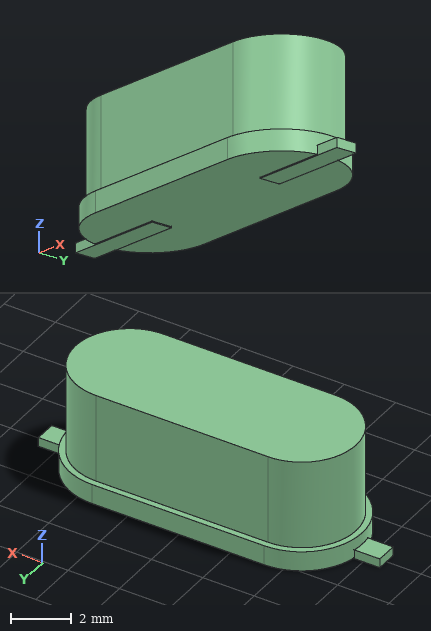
import cadquery as cq

overall_length = 13.31
overall_height = 4.25

base_length = 11.41
base_width = 4.7
base_thickness = 0.77
base_bottom = 0.04

ledge = 0.24
can_length = base_length - 2 * ledge
can_width = base_width - 2 * ledge
can_bottom = base_bottom + base_thickness
can_height = overall_height - can_bottom

lead_length = 3.9
lead_width = 0.84
lead_thickness = 0.36
lead_offset = (overall_length - lead_length) / 2


def stadium(length, width, height, bottom):
    """Upright block with a stadium outline, long along X."""
    return cq.Workplane("XY", origin=(0, 0, bottom)).slot2D(length, width).extrude(height)


def make_lead(side):
    """Lead strip at the -X end (side = -1) or the +X end (side = 1)."""
    return (
        cq.Workplane("XY")
        .center(side * lead_offset, 0)
        .rect(lead_length, lead_width)
        .extrude(lead_thickness)
    )


def make_base(leads):
    """Base plate with a matching recess for each lead."""
    base = stadium(base_length, base_width, base_thickness, base_bottom)
    for lead in leads:
        base = base.cut(lead)
    return base


leads = [make_lead(side) for side in (-1, 1)]
base = make_base(leads)
can = stadium(can_length, can_width, can_height, can_bottom)

result = cq.Compound.makeCompound([base.val(), can.val(), *[lead.val() for lead in leads]])